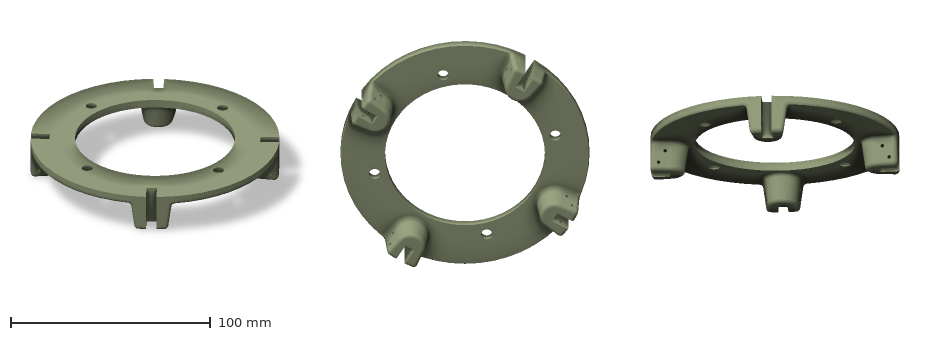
import cadquery as cq
import math

OUTER_RADIUS = 62.3
INNER_RADIUS = 40.0
PLATE_THICKNESS = 4.2
BLANK_THICKNESS = 5.0

BOLT_HOLE_COUNT = 4
BOLT_HOLE_DIAMETER = 5.6
BOLT_CIRCLE_RADIUS = 46.5

TOTAL_HEIGHT = 19.0
LEG_COUNT = 4
FIRST_LEG_ANGLE = 45.0
NOSE_RADIUS = 9.8
NOSE_CENTRE = 52.6
SIDE_ANGLE = 8.0
DRAFT_ANGLE = 8.0

EDGE_FILLET = 2.0
ROOT_FILLET = 1.5

SLOT_WIDTH = 5.2
SLOT_END_RADIUS = 52.7

PIN_HOLE_DIAMETER = 1.7
PIN_HOLES = [(54.4, -9.2), (57.8, -15.1)]

OVERSHOOT = 12.5
TOLERANCE = 0.001


def around(shape, count, first_angle=0.0):
    """Copies of a shape made on the +X axis, spread evenly around the ring."""
    copies = cq.Workplane("XY")
    for index in range(count):
        angle = first_angle + index * 360 / count
        copies.add(shape.rotate((0, 0, 0), (0, 0, 1), angle))
    return copies.combine()


def disc(radius, height):
    return cq.Workplane("XY").circle(radius).extrude(-height)


def drafted_leg():
    """Tapered leg with a round nose and sides that spread outward past the rim."""
    side = math.radians(SIDE_ANGLE)
    tangent_x = NOSE_CENTRE - NOSE_RADIUS * math.sin(side)
    tangent_y = NOSE_RADIUS * math.cos(side)
    far_x = OUTER_RADIUS + 2 * OVERSHOOT
    far_y = tangent_y + (far_x - tangent_x) * math.tan(side)
    return (
        cq.Workplane("XY")
        .moveTo(far_x, -far_y)
        .lineTo(tangent_x, -tangent_y)
        .threePointArc((NOSE_CENTRE - NOSE_RADIUS, 0), (tangent_x, tangent_y))
        .lineTo(far_x, far_y)
        .close()
        .extrude(-TOTAL_HEIGHT, taper=DRAFT_ANGLE)
    )


def lies_at(edge, z):
    box = edge.BoundingBox()
    return abs(box.zmin - z) < TOLERANCE and abs(box.zmax - z) < TOLERANCE


def lies_on_cylinder(edge, radius):
    points = edge.positions([0, 0.3, 1])
    return all(abs(math.hypot(point.x, point.y) - radius) < TOLERANCE for point in points)


def legged_plate(thickness, rim_radius):
    """Plate with four legs, trimmed to the rim radius, with filleted leg roots."""
    plate = disc(OUTER_RADIUS + OVERSHOOT, thickness).cut(disc(INNER_RADIUS, thickness))
    body = plate.union(around(drafted_leg(), LEG_COUNT, FIRST_LEG_ANGLE))
    body = body.intersect(disc(rim_radius, TOTAL_HEIGHT))
    underside = [edge for edge in body.edges().vals() if lies_at(edge, -thickness)]
    roots = [
        edge
        for edge in underside
        if not lies_on_cylinder(edge, INNER_RADIUS) and not lies_on_cylinder(edge, rim_radius)
    ]
    return body.newObject(roots).fillet(ROOT_FILLET)


def rounded_blank():
    """Legged ring with a thicker plate, its lower outer outline and leg bottoms rounded."""
    body = legged_plate(BLANK_THICKNESS, OUTER_RADIUS)
    lower_edges = [edge for edge in body.edges().vals() if edge.Center().z < TOLERANCE - BLANK_THICKNESS]
    rounded = [
        edge
        for edge in lower_edges
        if lies_at(edge, -TOTAL_HEIGHT) or lies_on_cylinder(edge, OUTER_RADIUS)
    ]
    return body.newObject(rounded).fillet(EDGE_FILLET)


def slot():
    length = OUTER_RADIUS + OVERSHOOT - SLOT_END_RADIUS
    return (
        cq.Workplane("XY")
        .box(length, SLOT_WIDTH, TOTAL_HEIGHT, centered=(False, True, False))
        .translate((SLOT_END_RADIUS, 0, -TOTAL_HEIGHT))
    )


def pin_holes():
    return (
        cq.Workplane("XZ")
        .pushPoints(PIN_HOLES)
        .circle(PIN_HOLE_DIAMETER / 2)
        .extrude(OVERSHOOT, both=True)
    )


def bolt_hole():
    return disc(BOLT_HOLE_DIAMETER / 2, PLATE_THICKNESS).translate((BOLT_CIRCLE_RADIUS, 0, 0))


thinning_body = legged_plate(PLATE_THICKNESS, OUTER_RADIUS + OVERSHOOT / 2)
result = rounded_blank().intersect(thinning_body)
result = result.cut(around(slot(), LEG_COUNT, FIRST_LEG_ANGLE))
result = result.cut(around(pin_holes(), LEG_COUNT, FIRST_LEG_ANGLE))
result = result.cut(around(bolt_hole(), BOLT_HOLE_COUNT))